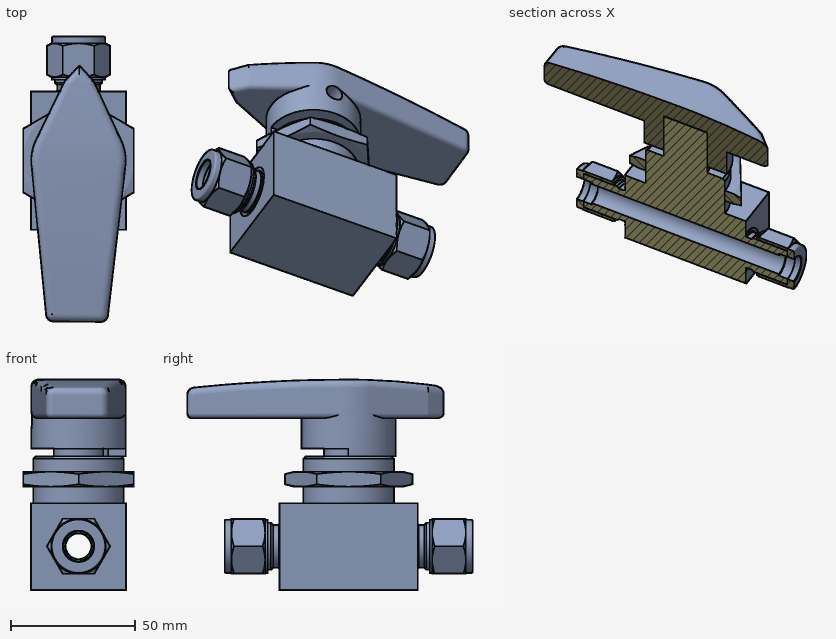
import cadquery as cq
import math


block_width = 38.2
block_length = 55.6
block_height = 34.9
axis_height = 17.6
block_bottom = -axis_height

neck_dia = 36.51
neck_top = block_bottom + 53.7
neck_chamfer = 1.0

stem_dia = 20.0
stem_top = block_bottom + 76.0

end_reach = 49.88
flow_bore_dia = 10.3
socket_dia = 12.0
socket_depth = 7.0
thread_dia = 19.05
shank_dia = 17.28
shank_flare = 0.35
recess_dia = 20.74
recess_depth = 0.15
nipple_inset = 3.0

nut_flats = 22.0
nut_rim_dia = 21.5
nut_rim_fillet = 0.75
nut_rim_length = 2.8
nut_hex_length = 13.5
nut_collar_length = 1.0
nut_length = nut_rim_length + nut_hex_length + nut_collar_length
nut_bore_dia = 12.18
nut_bore_chamfer = 0.25
thread_tail = 1.3

nut_chamfer = math.radians(30)

panel_nut_flats = 44.45
panel_nut_bottom = block_bottom + 41.6
panel_nut_height = 5.9
panel_nut_chamfer = math.radians(15)

hub_radius = 19.0
hub_seam_angle = -90
hub_bottom = block_bottom + 56.85
stop_inner_radius = 12.0
blade_bottom = block_bottom + 69.0
blade_top = block_bottom + 84.64
swing = -0.55
tail_y = -64.78
tip_y = 38.2
tip_shoulder_y = 32.0
tail_taper = math.radians(6.1)
nose_taper = math.radians(25.5)
tail_crown_radius = 600.0
nose_crown_radius = 250.0
tail_corner_radius = 3.1
top_fillet = 3.0
bottom_fillet = 2.0
screw_dia = 7.0
screw_height = block_bottom + 68.2


def hexagon(flats, height, chamfer_angle, start_angle):
    """Hexagonal prism on Z = 0 with the corners of both ends turned to a chamfer."""
    corner_radius = flats / math.sqrt(3)
    prism = (
        cq.Workplane("XY")
        .polygon(6, 2 * corner_radius)
        .extrude(height)
        .rotate((0, 0, 0), (0, 0, 1), start_angle)
    )
    drop = (corner_radius - flats / 2) * math.tan(chamfer_angle)
    turned_blank = (
        cq.Workplane("XZ")
        .moveTo(0, 0)
        .lineTo(flats / 2, 0)
        .lineTo(corner_radius, drop)
        .lineTo(corner_radius, height - drop)
        .lineTo(flats / 2, height)
        .lineTo(0, height)
        .close()
        .revolve(360, (0, 0, 0), (0, 1, 0))
    )
    return prism.intersect(turned_blank)


def at_end(shape, side):
    """Turn a shape built along +Z so that it points along -Y (side = -1) or +Y (side = 1)."""
    return shape.rotate((0, 0, 0), (1, 0, 0), -90 * side)


def make_nipple():
    """Turned connection along +Z, starting inside the block and ending inside the tube nut."""
    block_face = block_length / 2
    nut_back = end_reach - nut_length
    chamfer_start = nut_back - thread_tail
    chamfer_drop = (thread_dia - shank_dia) / 2
    return (
        cq.Workplane("XZ")
        .moveTo(0, 0)
        .lineTo(shank_dia / 2 + shank_flare, 0)
        .lineTo(shank_dia / 2 + shank_flare, block_face)
        .lineTo(shank_dia / 2, block_face + shank_flare)
        .lineTo(shank_dia / 2, chamfer_start - chamfer_drop)
        .lineTo(thread_dia / 2, chamfer_start)
        .lineTo(thread_dia / 2, end_reach - nipple_inset)
        .lineTo(0, end_reach - nipple_inset)
        .close()
        .revolve(360, (0, 0, 0), (0, 1, 0))
    )


def make_body():
    block = cq.Workplane("XY").box(block_width, block_length, block_height, centered=(True, True, False))
    body = block.translate((0, 0, block_bottom))

    neck = cq.Workplane("XY").circle(neck_dia / 2).extrude(neck_top).faces(">Z").chamfer(neck_chamfer)
    stem = cq.Workplane("XY").circle(stem_dia / 2).extrude(stem_top)
    body = body.union(neck).union(stem)

    recess_start = block_length / 2 - recess_depth
    recess = cq.Workplane("XY").workplane(offset=recess_start).circle(recess_dia / 2).extrude(recess_depth)
    for side in (-1, 1):
        body = body.cut(at_end(recess, side)).union(at_end(make_nipple(), side))

    socket_start = end_reach - socket_depth
    for side in (-1, 1):
        bore = cq.Workplane("XY").circle(flow_bore_dia / 2).extrude(end_reach)
        socket = cq.Workplane("XY").workplane(offset=socket_start).circle(socket_dia / 2)
        socket = socket.extrude(socket_depth)
        body = body.cut(at_end(bore.union(socket), side))
    return body


def make_tube_nut(side):
    rim = cq.Workplane("XY").circle(nut_rim_dia / 2).extrude(nut_length)
    rim = rim.faces(">Z").edges().fillet(nut_rim_fillet)
    hex_part = hexagon(nut_flats, nut_hex_length, nut_chamfer, 0).translate((0, 0, nut_collar_length))
    lip_start = nut_length - nipple_inset
    nut = (
        rim.union(hex_part)
        .cut(cq.Workplane("XY").circle(nut_bore_dia / 2).extrude(nut_length))
        .cut(cq.Workplane("XY").circle(thread_dia / 2).extrude(lip_start))
    )
    nut = nut.faces(">Z").edges(cq.selectors.RadiusNthSelector(0)).chamfer(nut_bore_chamfer)
    return at_end(nut.translate((0, 0, end_reach - nut_length)), side)


def make_panel_nut():
    nut = hexagon(panel_nut_flats, panel_nut_height, panel_nut_chamfer, 30)
    nut = nut.translate((0, 0, panel_nut_bottom))
    return nut.cut(cq.Workplane("XY").circle(neck_dia / 2).extrude(neck_top))


def blade_outline():
    """Plan of the blade: pointed tip, flanks tangent to the hub circle, square tail."""
    def tangent_point(angle):
        return hub_radius * math.cos(angle), hub_radius * math.sin(angle)

    def flank_x(angle, y):
        return (hub_radius - y * math.sin(angle)) / math.cos(angle)

    nose_x, nose_y = tangent_point(nose_taper)
    tail_start_x, tail_start_y = tangent_point(-tail_taper)
    shoulder_x = flank_x(nose_taper, tip_shoulder_y)
    tail_x = flank_x(-tail_taper, tail_y)
    return (
        cq.Workplane("XY")
        .moveTo(0, tip_y)
        .lineTo(shoulder_x, tip_shoulder_y)
        .lineTo(nose_x, nose_y)
        .threePointArc((hub_radius, 0), (tail_start_x, tail_start_y))
        .lineTo(tail_x, tail_y)
        .lineTo(-tail_x, tail_y)
        .lineTo(-tail_start_x, tail_start_y)
        .threePointArc((-hub_radius, 0), (-nose_x, nose_y))
        .lineTo(-shoulder_x, tip_shoulder_y)
        .close()
    )


def crown_profile():
    """Side profile with a domed top: two arcs that share a level tangent on the stem axis."""
    def crown_z(radius, y):
        return blade_top - radius + math.sqrt(radius ** 2 - y ** 2)

    return (
        cq.Workplane("YZ")
        .moveTo(tail_y, blade_bottom)
        .lineTo(tail_y, crown_z(tail_crown_radius, tail_y))
        .threePointArc((tail_y / 2, crown_z(tail_crown_radius, tail_y / 2)), (0, blade_top))
        .threePointArc((tip_y / 2, crown_z(nose_crown_radius, tip_y / 2)),
                       (tip_y, crown_z(nose_crown_radius, tip_y)))
        .lineTo(tip_y, blade_bottom)
        .close()
        .extrude(hub_radius, both=True)
    )


def is_crease(edge):
    """True for the line across the domed top where its two arcs meet."""
    tolerance = 0.01
    middle = edge.Center()
    return abs(middle.x) < tolerance and abs(middle.y) < tolerance


def make_blade():
    overlap = 1.0
    blade = blade_outline().extrude(blade_top - blade_bottom + overlap).translate((0, 0, blade_bottom))
    blade = blade.edges("|Z and <Y").fillet(tail_corner_radius)
    blade = blade.intersect(crown_profile())

    upper_zone = cq.selectors.BoxSelector(
        (-hub_radius, tail_y - overlap, (blade_bottom + blade_top) / 2 + overlap),
        (hub_radius, tip_y + overlap, blade_top + overlap),
    )
    rim = blade.edges(upper_zone).edges("not |Z").filter(lambda edge: not is_crease(edge))
    blade = rim.fillet(top_fillet)
    return blade.faces("<Z").edges().fillet(bottom_fillet)


def make_handle():
    hub_height = blade_bottom + bottom_fillet - hub_bottom
    hub = (
        cq.Workplane("XY").workplane(offset=hub_bottom)
        .circle(hub_radius).extrude(hub_height)
        .rotate((0, 0, 0), (0, 0, 1), hub_seam_angle)
    )

    stop_ring = (
        cq.Workplane("XY").workplane(offset=neck_top)
        .circle(hub_radius).circle(stop_inner_radius).extrude(hub_bottom - neck_top)
    )
    quadrant = cq.Workplane("XY").box(hub_radius, hub_radius, blade_top, centered=False)
    stop = stop_ring.intersect(quadrant)

    stem_socket = cq.Workplane("XY").circle(stem_dia / 2).extrude(stem_top)
    screw_hole = cq.Workplane("YZ").center(0, screw_height).circle(screw_dia / 2).extrude(-hub_radius)
    handle = make_blade().union(hub).union(stop).cut(stem_socket).cut(screw_hole)
    return handle.rotate((0, 0, 0), (0, 0, 1), swing)


body = make_body().solids()
panel_nut = make_panel_nut().solids()
handle = make_handle().solids()
tube_nuts = [make_tube_nut(side).solids().val() for side in (-1, 1)]

result = cq.Compound.makeCompound([body.val(), panel_nut.val(), handle.val(), *tube_nuts])